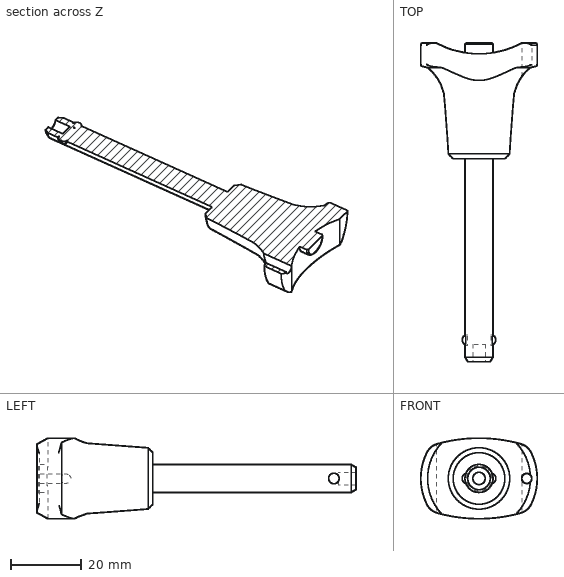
import math

import cadquery as cq


SHANK_DIAMETER = 8.0
SHANK_LENGTH = 57.8
TIP_CHAMFER_LENGTH = 1.4
TIP_CHAMFER_DEPTH = 0.8
TIP_BORE_DIAMETER = 3.5
TIP_BORE_DEPTH = 5.0

BALL_DIAMETER = 3.0
BALL_SPAN = 9.6
BALL_FROM_TIP = 6.3

HANDLE_HEIGHT = 33.0
BASE_CHAMFER = 1.4
GRIP_BASE_RADIUS = 8.75
GRIP_TOP_RADIUS = 10.05
GRIP_TOP_Y = 18.7
FLARE_RADIUS = 13.2
FLARE_RIM_RADIUS = 14.65
FLARE_RIM_Y = 25.95

FLANGE_RADIUS = 16.6
FLANGE_EDGE_Y = 26.4
FLANGE_EDGE_FILLET = 0.6
FLANGE_WIDTH = 23.0
FLANGE_SIDE_RADIUS = 44.0
FLANGE_CORNER_FILLET = 5.0

SCOOP_DEPTH = 3.1
SCOOP_HALF_LENGTH = 12.1

BUTTON_DIAMETER = 8.0
BUTTON_CHAMFER = 0.4

LANYARD_HOLE_DIAMETER = 2.8
LANYARD_HOLE_X = 13.6


def cylinder_along_y(radius, start_y, end_y, x=0.0):
    """Cylinder parallel to the pin axis, from start_y up to end_y."""
    base = cq.Workplane("XZ", origin=(x, start_y, 0))
    return base.circle(radius).extrude(start_y - end_y)


def flare_midpoint():
    """Middle point of the concave arc that runs from the grip out to the rim."""
    dx = FLARE_RIM_RADIUS - GRIP_TOP_RADIUS
    dy = FLARE_RIM_Y - GRIP_TOP_Y
    chord = math.hypot(dx, dy)
    sag = FLARE_RADIUS - math.sqrt(FLARE_RADIUS**2 - (chord / 2) ** 2)
    mid_x = (GRIP_TOP_RADIUS + FLARE_RIM_RADIUS) / 2 - sag * dy / chord
    mid_y = (GRIP_TOP_Y + FLARE_RIM_Y) / 2 + sag * dx / chord
    return mid_x, mid_y


def turned_handle():
    """Round handle: chamfered base, tapered grip, flare and rounded rim."""
    profile = (
        cq.Workplane("ZY")
        .lineTo(GRIP_BASE_RADIUS - BASE_CHAMFER, 0)
        .lineTo(GRIP_BASE_RADIUS, BASE_CHAMFER)
        .lineTo(GRIP_TOP_RADIUS, GRIP_TOP_Y)
        .threePointArc(flare_midpoint(), (FLARE_RIM_RADIUS, FLARE_RIM_Y))
        .lineTo(FLANGE_RADIUS, FLANGE_EDGE_Y)
        .lineTo(FLANGE_RADIUS, HANDLE_HEIGHT)
        .lineTo(0, HANDLE_HEIGHT)
        .close()
    )
    handle = profile.revolve(360, (0, 0, 0), (0, 1, 0))
    rim_edges = handle.edges(cq.selectors.RadiusNthSelector(-1))
    return rim_edges.fillet(FLANGE_EDGE_FILLET)


def flange_prism():
    """Prism with the flange outline: round ends, shallow convex sides, filleted corners."""
    half_width = FLANGE_WIDTH / 2
    side_center = FLANGE_SIDE_RADIUS - half_width
    corner_z = (FLANGE_SIDE_RADIUS**2 - FLANGE_RADIUS**2 - side_center**2) / (2 * side_center)
    corner_x = math.sqrt(FLANGE_RADIUS**2 - corner_z**2)
    outline = (
        cq.Workplane("XZ")
        .moveTo(-corner_x, corner_z)
        .threePointArc((0, half_width), (corner_x, corner_z))
        .threePointArc((FLANGE_RADIUS, 0), (corner_x, -corner_z))
        .threePointArc((0, -half_width), (-corner_x, -corner_z))
        .threePointArc((-FLANGE_RADIUS, 0), (-corner_x, corner_z))
        .close()
    )
    return outline.extrude(-HANDLE_HEIGHT).edges("|Y").fillet(FLANGE_CORNER_FILLET)


def thumb_scoop():
    """Cutter for the concave top of the handle, running across it along Z."""
    radius = (SCOOP_HALF_LENGTH**2 + SCOOP_DEPTH**2) / (2 * SCOOP_DEPTH)
    center_y = HANDLE_HEIGHT - SCOOP_DEPTH + radius
    return cq.Workplane("XY").center(0, center_y).circle(radius).extrude(FLANGE_WIDTH, both=True)


def shank():
    """Plain shank with a chamfered, bored tip and two locking balls."""
    radius = SHANK_DIAMETER / 2
    pin = cylinder_along_y(radius, -SHANK_LENGTH, 0)
    pin = pin.faces("<Y").chamfer(TIP_CHAMFER_LENGTH, TIP_CHAMFER_DEPTH)
    bore = cylinder_along_y(TIP_BORE_DIAMETER / 2, -SHANK_LENGTH, TIP_BORE_DEPTH - SHANK_LENGTH)
    pin = pin.cut(bore)
    ball_x = (BALL_SPAN - BALL_DIAMETER) / 2
    ball_y = BALL_FROM_TIP - SHANK_LENGTH
    for side in (-1, 1):
        pocket = cq.Workplane("YZ", origin=(side * ball_x, ball_y, 0))
        pin = pin.cut(pocket.circle(BALL_DIAMETER / 2).extrude(side * radius))
        ball = cq.Workplane("XY").sphere(BALL_DIAMETER / 2).translate((side * ball_x, ball_y, 0))
        pin = pin.union(ball)
    return pin


def release_button():
    """Button standing in the scoop, level with the top of the flange."""
    button = cylinder_along_y(BUTTON_DIAMETER / 2, GRIP_TOP_Y, HANDLE_HEIGHT)
    return button.faces(">Y").chamfer(BUTTON_CHAMFER)


handle = turned_handle().intersect(flange_prism()).cut(thumb_scoop())
lanyard_hole = cylinder_along_y(LANYARD_HOLE_DIAMETER / 2, 0, HANDLE_HEIGHT, x=LANYARD_HOLE_X)
handle = handle.cut(lanyard_hole)

result = handle.union(release_button()).union(shank())